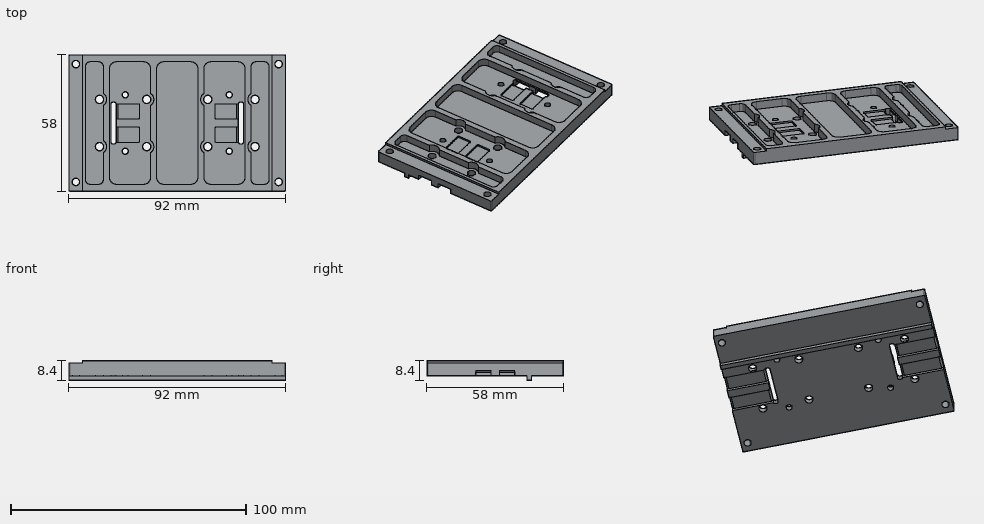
import cadquery as cq

LENGTH = 92.0
WIDTH = 58.0
HEIGHT = 6.5
CORNER_RADIUS = 0.5
END_X = LENGTH / 2

SHELF_LENGTH = 5.7
SHELF_DROP = 1.0

RAIL_SIDE = 1.9
RAIL_Y = 14.4

POCKET_DEPTH = 3.5
POCKET_SPAN_Y = 52.1
POCKET_SPAN_X = 17.6
POCKET_X = 20.1
POCKET_RADIUS = 3.0
END_POCKET_OUTER_X = 39.0
END_POCKET_INNER_X = 31.4
END_POCKET_RADIUS = 2.0
FLOOR_Z = HEIGHT - POCKET_DEPTH

MOUNT_X = 43.1
MOUNT_Y = 25.0
MOUNT_DIAMETER = 3.0
BOLT_CENTRE_X = 23.0
BOLT_PITCH = 20.1
BOLT_DIAMETER = 3.4
BOLT_HEAD_RADIUS = 3.0
PIN_X = 22.1
PIN_Y = 12.0
PIN_DIAMETER = 2.5

SLOT_X = 27.05
SLOT_LENGTH = 17.7
SLOT_WIDTH = 2.1
SLOT_RADIUS = 0.7
LANE_WIDTH = 6.4
LANE_Y = 5.0
RECESS_INNER_X = 16.0
RECESS_DEPTH = 0.7
RECESS_RADIUS = 0.5
LEAD_IN = 0.8
CHANNEL_HEIGHT = 1.5
CHANNEL_FLARE = 0.8
SLOT_INNER_X = SLOT_X - SLOT_WIDTH / 2
SLOT_OUTER_X = SLOT_X + SLOT_WIDTH / 2
RECESS_Z = FLOOR_Z - RECESS_DEPTH

SIDES = (-1, 1)


def mirrored_points(x, y):
    """The four points at plus and minus x and y."""
    return [(side_x * x, side_y * y) for side_x in SIDES for side_y in SIDES]


def through_holes(points, diameter):
    return cq.Workplane("XY").pushPoints(points).circle(diameter / 2).extrude(HEIGHT)


def pocket(centre_x, length, radius):
    """Round-cornered pocket from the top face down to the pocket floor."""
    return (
        cq.Workplane("XY", origin=(centre_x, 0, FLOOR_Z))
        .rect(length, POCKET_SPAN_Y)
        .extrude(POCKET_DEPTH)
        .edges("|Z")
        .fillet(radius)
    )


def make_plate():
    plate = cq.Workplane("XY").box(LENGTH, WIDTH, HEIGHT, centered=(True, True, False))
    plate = plate.edges("|Z").fillet(CORNER_RADIUS)
    for side in SIDES:
        shelf = cq.Workplane("XY").box(2 * SHELF_LENGTH, WIDTH, 2 * SHELF_DROP)
        plate = plate.cut(shelf.translate((side * END_X, 0, HEIGHT)))
    rail = cq.Workplane("XY").box(LENGTH, RAIL_SIDE, RAIL_SIDE)
    return plate.union(rail.translate((0, RAIL_Y, -RAIL_SIDE / 2)))


def half_pockets():
    """Pockets on the +X half, with round clearances for the bolt heads."""
    end_centre = (END_POCKET_OUTER_X + END_POCKET_INNER_X) / 2
    end_length = END_POCKET_OUTER_X - END_POCKET_INNER_X
    bolt_heads = (
        cq.Workplane("XY", origin=(BOLT_CENTRE_X, 0, FLOOR_Z))
        .rect(BOLT_PITCH, BOLT_PITCH, forConstruction=True)
        .vertices()
        .circle(BOLT_HEAD_RADIUS)
        .extrude(POCKET_DEPTH)
    )
    pockets = pocket(POCKET_X, POCKET_SPAN_X, POCKET_RADIUS)
    return pockets.union(pocket(end_centre, end_length, END_POCKET_RADIUS)).union(bolt_heads)


def half_bolt_holes():
    """Bolt and pin holes on the +X half."""
    half = BOLT_PITCH / 2
    bolts = [(BOLT_CENTRE_X + x, y) for x, y in mirrored_points(half, half)]
    pins = [(PIN_X, side * PIN_Y) for side in SIDES]
    return through_holes(bolts, BOLT_DIAMETER).union(through_holes(pins, PIN_DIAMETER))


def lane(profile):
    """Extrude an XZ profile to the width of one cable lane, centred on the X axis."""
    return cq.Workplane("XZ").polyline(profile).close().extrude(LANE_WIDTH / 2, both=True)


def half_cable_passage():
    """Slot with two recessed lanes above and two channels out below, on the +X half."""
    passage = cq.Workplane("XY").center(SLOT_X, 0).rect(SLOT_WIDTH, SLOT_LENGTH).extrude(FLOOR_Z)
    passage = passage.edges("|Z").fillet(SLOT_RADIUS)
    recess_profile = [
        (RECESS_INNER_X, FLOOR_Z),
        (RECESS_INNER_X, RECESS_Z),
        (SLOT_INNER_X - LEAD_IN, RECESS_Z),
        (SLOT_INNER_X, RECESS_Z - LEAD_IN),
        (SLOT_X, RECESS_Z - LEAD_IN),
        (SLOT_X, FLOOR_Z),
    ]
    channel_profile = [
        (SLOT_X, 0),
        (END_X, 0),
        (END_X, CHANNEL_HEIGHT + CHANNEL_FLARE),
        (END_X - CHANNEL_FLARE, CHANNEL_HEIGHT),
        (SLOT_OUTER_X + CHANNEL_FLARE, CHANNEL_HEIGHT),
        (SLOT_OUTER_X, CHANNEL_HEIGHT + CHANNEL_FLARE),
        (SLOT_X, CHANNEL_HEIGHT + CHANNEL_FLARE),
    ]
    recess = lane(recess_profile).edges("|Z and <X").fillet(RECESS_RADIUS)
    for cut in (recess, lane(channel_profile)):
        for side in SIDES:
            passage = passage.union(cut.translate((0, side * LANE_Y, 0)))
    return passage


result = make_plate()
result = result.cut(pocket(0, POCKET_SPAN_X, POCKET_RADIUS))
result = result.cut(through_holes(mirrored_points(MOUNT_X, MOUNT_Y), MOUNT_DIAMETER))
for half_feature in (half_pockets(), half_bolt_holes(), half_cable_passage()):
    result = result.cut(half_feature).cut(half_feature.mirror("YZ"))